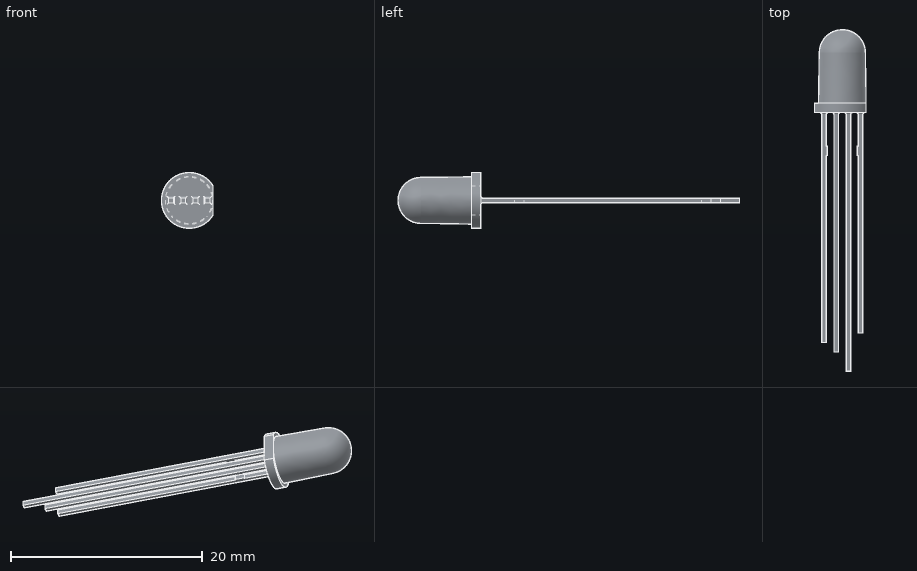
import cadquery as cq

total_length = 35.65
longest_lead = 27.0

dome_radius = 2.42
lens_base_radius = 2.5
flange_radius = 2.92
flange_thickness = 1.0
flat_x = lens_base_radius
lens_top = total_length - longest_lead
dome_base = lens_top - dome_radius

lead_lengths = [24.0, 25.0, longest_lead, 23.0]
lead_row_span = 3.8
lead_pitch = lead_row_span / (len(lead_lengths) - 1)
lead_width = 0.5
root_fillet = 0.2

tab_start = 3.5
tab_length = 1.0
tab_height = 0.1


def make_lens():
    """Flange, tapered body and dome revolved about Y, with a flat on the flange's +X side."""
    lens = (
        cq.Workplane("XY")
        .lineTo(flange_radius, 0)
        .lineTo(flange_radius, flange_thickness)
        .lineTo(lens_base_radius, flange_thickness)
        .lineTo(dome_radius, dome_base)
        .radiusArc((0, lens_top), -dome_radius)
        .close()
        .revolve(360, (0, 0, 0), (0, 1, 0))
    )
    flat_cutter = cq.Workplane("XY").box(
        flange_radius, 2 * lens_top, 2 * flange_radius
    ).translate((flat_x + flange_radius / 2, 0, 0))
    return lens.cut(flat_cutter)


def make_lead(x, length):
    """Square lead hanging from the flange seat towards -Y."""
    return cq.Workplane("XY").box(lead_width, length, lead_width).translate((x, -length / 2, 0))


def make_tab(lead_x):
    """Stop tab that stands out from the side of a lead facing the axis."""
    inward = -1 if lead_x > 0 else 1
    tab_x = lead_x + inward * (lead_width + tab_height) / 2
    tab_y = -tab_start - tab_length / 2
    return cq.Workplane("XY").box(tab_height, tab_length, lead_width).translate((tab_x, tab_y, 0))


def fillet_lead_root(body, x):
    """Concave fillet where the lead at x meets the flange seat."""
    reach = (lead_width + root_fillet) / 2
    root_zone = cq.selectors.BoxSelector(
        (x - reach, -root_fillet, -reach), (x + reach, root_fillet, reach)
    )
    return body.edges(root_zone).edges("not %CIRCLE").fillet(root_fillet)


outermost_x = lead_row_span / 2

result = make_lens()
for index, lead_length in enumerate(lead_lengths):
    lead_x = index * lead_pitch - outermost_x
    result = result.union(make_lead(lead_x, lead_length))
    result = fillet_lead_root(result, lead_x)

for outer_x in (-outermost_x, outermost_x):
    result = result.union(make_tab(outer_x))